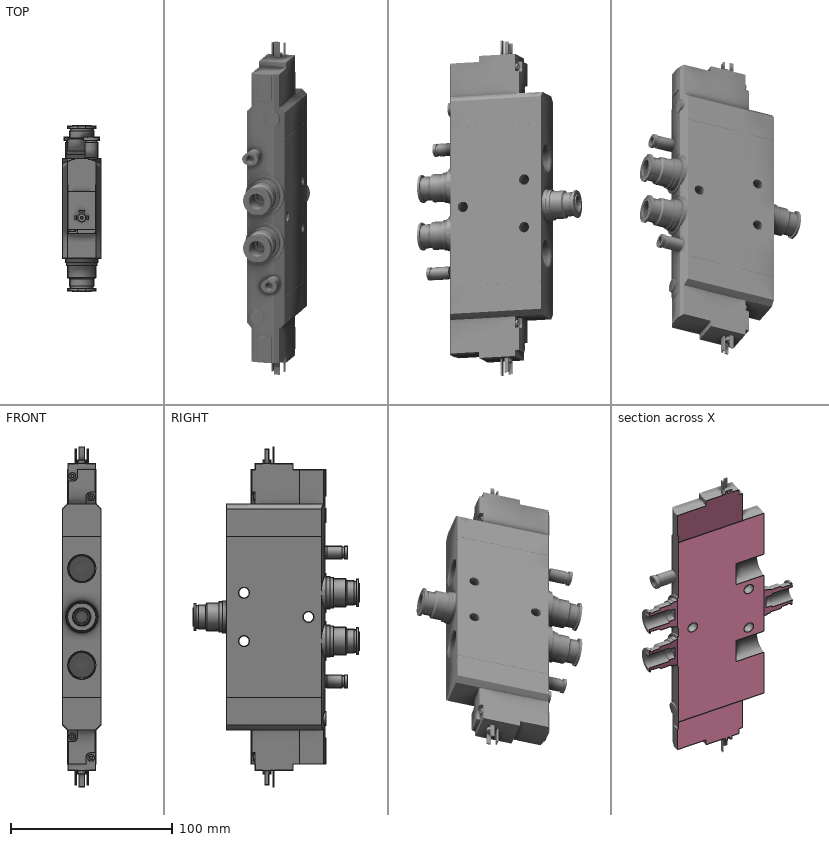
import cadquery as cq
import math


housing_width = 24.0
housing_half_height = 70.25
housing_shoulder_y = 59.0
back_y = 61.3
back_flat_width = 11.6
pilot_width = 17.5
end_chamfer = (housing_width - pilot_width) / 2
cap_joint_z = 50.0
joint_groove = 0.1

mount_hole_diameter = 6.5
mount_hole_places = [(11.0, 15.0), (11.0, -15.0), (51.0, 0.0)]

exhaust_z = 30.0
exhaust_bore_diameter = 16.0
exhaust_mouth_diameter = 17.5
exhaust_chamfer = (exhaust_mouth_diameter - exhaust_bore_diameter) / 2
exhaust_depth = 20.0

boss_diameter = 24.2
boss_y = 62.0
outlet_z = 15.0

override_diameter = 8.6
override_x = -5.0
override_z = 63.0

pilot_top_z = 91.4
pilot_front_y = 45.4
coil_inset = 0.1
coil_width = pilot_width - 2 * coil_inset
pad_width = 9.0
pad_bottom_z = 75.0

coil_top_z = 95.2
coil_step_y = 41.5
coil_head_front_y = 17.9
coil_front_y = 16.1
panel_y = 15.4
panel_width = 16.2

screw_head_diameter = 4.13
screw_head_height = 1.1
screw_socket_diameter = 2.0
screw_socket_depth = 1.5
screw_pocket_diameter = 6.5
screw_x = 5.8
upper_screw_z = 87.5
lower_screw_z = 74.2

collar_diameter = 5.0
collar_bore_diameter = 1.5
collar_y = 25.2
collar_top_z = 97.4
blade_width = 3.6
blade_thickness = 0.8
blade_y = 29.3
blade_top_z = 105.5
side_blade_x = 3.8
side_blade_width = 2.4
side_blade_top_z = 104.2

fitting_steps = [(20.0, 2.4), (19.0, 4.5), (17.5, 12.0)]
fitting_neck_diameter = 14.95
fitting_taper_end = 12.8
fitting_neck_end = 17.2
ring_stem_diameter = 14.3
ring_start = 18.7
ring_diameter = 17.5
ring_flat_width = 16.8
ring_end = 20.1
lip_diameter = 11.4
fitting_length = 20.6
tube_bore_diameter = 10.0
tube_bore_depth = 15.0
inner_bore_diameter = 7.8
inner_bore_depth = 19.0

small_fitting_x = 6.0
small_fitting_z = 40.0
small_body_diameter = 8.0
small_foot_diameter = 7.8
small_foot_length = 1.2
small_neck_diameter = 7.0
small_neck_start = 10.6
small_ring_start = 12.0
small_ring_length = 10.0
small_fitting_length = 14.0
small_bore_diameter = 5.0
small_bore_depth = 10.0


def block(x_range, y_range, z_range):
    """Box between the given limits."""
    (x0, x1), (y0, y1), (z0, z1) = x_range, y_range, z_range
    return cq.Workplane("XY").box(x1 - x0, y1 - y0, z1 - z0, centered=False).translate((x0, y0, z0))


def centred_block(width, y_range, z_range):
    return block((-width / 2, width / 2), y_range, z_range)


def y_cylinder(diameter, y_start, y_end, x=0.0, z=0.0):
    """Cylinder along Y."""
    disc = cq.Workplane("XZ", origin=(x, y_start, z)).circle(diameter / 2)
    return disc.extrude(y_start - y_end)


def half_turn(shape):
    """The same shape at the other end of the valve."""
    return shape.rotate((0, 0, 0), (0, 1, 0), 180)


def back_profile(z_half):
    """Plan outline with the sloped back edges, extruded both ways along Z."""
    half = housing_width / 2
    flat = back_flat_width / 2
    outline = [
        (-half, 0),
        (half, 0),
        (half, housing_shoulder_y),
        (flat, back_y),
        (-flat, back_y),
        (-half, housing_shoulder_y),
    ]
    return cq.Workplane("XY").polyline(outline).close().extrude(z_half, both=True)


def make_housing():
    envelope = centred_block(housing_width, (0, back_y), (-housing_half_height, housing_half_height))
    body = envelope.edges("|Y").chamfer(end_chamfer).intersect(back_profile(housing_half_height))

    side_limits = centred_block(housing_width, (0, boss_y), (-housing_half_height, housing_half_height))
    for z in (outlet_z, -outlet_z):
        pad = y_cylinder(boss_diameter, housing_shoulder_y, boss_y, z=z)
        body = body.union(pad.intersect(side_limits))

    knob = y_cylinder(override_diameter, housing_shoulder_y, boss_y, override_x, override_z)
    body = body.union(knob).union(half_turn(knob))

    for z in (cap_joint_z, -cap_joint_z):
        z_range = (z - joint_groove / 2, z + joint_groove / 2)
        around = centred_block(housing_width, (0, housing_shoulder_y), z_range)
        core = centred_block(housing_width - 2 * joint_groove, (joint_groove, housing_shoulder_y), z_range)
        body = body.cut(around.cut(core))

    holes = cq.Workplane("YZ").pushPoints(mount_hole_places).circle(mount_hole_diameter / 2)
    body = body.cut(holes.extrude(housing_width, both=True))

    for z in (exhaust_z, -exhaust_z):
        body = body.cut(y_cylinder(exhaust_bore_diameter, 0, exhaust_depth, z=z))
        lead_in = cq.Solid.makeCone(
            exhaust_mouth_diameter / 2,
            exhaust_bore_diameter / 2,
            exhaust_chamfer,
            pnt=cq.Vector(0, 0, z),
            dir=cq.Vector(0, 1, 0),
        )
        body = body.cut(cq.Workplane(lead_in))
    return body


def screw_pocket(x, z, x_edge, z_edge):
    """Recess open towards x_edge and z_edge, rounded about the screw at its inner corner."""
    radius = screw_pocket_diameter / 2
    inner_x = x + math.copysign(radius, x - x_edge)
    inner_z = z + math.copysign(radius, z - z_edge)
    y_range = (panel_y, coil_head_front_y)
    corner = y_cylinder(screw_pocket_diameter, *y_range, x, z)
    along_x = block(sorted((x, x_edge)), y_range, sorted((inner_z, z_edge)))
    along_z = block(sorted((inner_x, x_edge)), y_range, sorted((z, z_edge)))
    return corner.union(along_x).union(along_z)


def make_solenoid():
    half = coil_width / 2
    full_height = (housing_half_height, pilot_top_z)
    tall = (housing_half_height, coil_top_z)

    solenoid = centred_block(pilot_width, (pilot_front_y, back_y), full_height)
    solenoid = solenoid.intersect(back_profile(pilot_top_z))
    solenoid = solenoid.union(centred_block(pad_width, (back_y, boss_y), (pad_bottom_z, pilot_top_z)))

    solenoid = solenoid.union(centred_block(coil_width, (coil_front_y, pilot_front_y), full_height))
    solenoid = solenoid.union(centred_block(coil_width, (coil_head_front_y, coil_step_y), tall))
    solenoid = solenoid.union(centred_block(panel_width, (panel_y, coil_front_y), full_height))

    solenoid = solenoid.cut(screw_pocket(-screw_x, upper_screw_z, -half, pilot_top_z))
    solenoid = solenoid.cut(screw_pocket(screw_x, lower_screw_z, half, housing_half_height))
    head_y = coil_head_front_y - screw_head_height
    socket_y = head_y + screw_socket_depth
    for x, z in ((-screw_x, upper_screw_z), (screw_x, lower_screw_z)):
        solenoid = solenoid.union(y_cylinder(screw_head_diameter, head_y, coil_head_front_y, x, z))
        solenoid = solenoid.cut(y_cylinder(screw_socket_diameter, head_y, socket_y, x, z))

    collar = cq.Workplane("XY", origin=(0, collar_y, coil_top_z))
    collar = collar.circle(collar_diameter / 2).circle(collar_bore_diameter / 2)
    solenoid = solenoid.union(collar.extrude(collar_top_z - coil_top_z))
    blade_y_range = (blade_y - blade_thickness / 2, blade_y + blade_thickness / 2)
    solenoid = solenoid.union(centred_block(blade_width, blade_y_range, (coil_top_z, blade_top_z)))
    side_y_range = (collar_y - side_blade_width / 2, collar_y + side_blade_width / 2)
    for x in (-side_blade_x, side_blade_x):
        x_range = (x - blade_thickness / 2, x + blade_thickness / 2)
        solenoid = solenoid.union(block(x_range, side_y_range, (coil_top_z, side_blade_top_z)))
    return solenoid


def make_fitting():
    """Push-in fitting seated at y = 0 and pointing along +Y."""
    outline = [(0, 0)]
    start = 0
    for diameter, end in fitting_steps:
        outline += [(diameter / 2, start), (diameter / 2, end)]
        start = end
    outline += [
        (fitting_neck_diameter / 2, fitting_taper_end),
        (fitting_neck_diameter / 2, fitting_neck_end),
        (ring_stem_diameter / 2, fitting_neck_end),
        (ring_stem_diameter / 2, ring_start),
        (0, ring_start),
    ]
    fitting = cq.Workplane("XY").polyline(outline).close().revolve(360, (0, 0), (0, 1))
    ring = y_cylinder(ring_diameter, ring_start, ring_end)
    flats = (-ring_flat_width / 2, ring_flat_width / 2)
    ring = ring.intersect(centred_block(ring_diameter, (ring_start, ring_end), flats))
    lip = y_cylinder(lip_diameter, ring_end, fitting_length)
    fitting = fitting.union(ring).union(lip)

    for diameter, depth in (
        (tube_bore_diameter, tube_bore_depth),
        (inner_bore_diameter, inner_bore_depth),
    ):
        fitting = fitting.cut(y_cylinder(diameter, fitting_length - depth, fitting_length))
    return fitting


def make_small_fitting():
    """Small push-in fitting seated at y = 0 and pointing along +Y."""
    fitting = y_cylinder(small_foot_diameter, 0, small_foot_length)
    fitting = fitting.union(y_cylinder(small_body_diameter, small_foot_length, small_neck_start))
    fitting = fitting.union(y_cylinder(small_neck_diameter, small_neck_start, small_ring_start))
    ring = cq.Workplane("XZ", origin=(0, small_ring_start, 0))
    ring = ring.ellipse(small_ring_length / 2, small_body_diameter / 2)
    fitting = fitting.union(ring.extrude(small_ring_start - small_fitting_length))
    bore_start = small_fitting_length - small_bore_depth
    return fitting.cut(y_cylinder(small_bore_diameter, bore_start, small_fitting_length))


housing = make_housing()

solenoid = make_solenoid()
solenoids = [solenoid, half_turn(solenoid)]

fitting = make_fitting()
supply_fitting = fitting.rotate((0, 0, 0), (0, 0, 1), 180)
outlet_fittings = [fitting.translate((0, boss_y, z)) for z in (outlet_z, -outlet_z)]

small_fitting = make_small_fitting().translate((small_fitting_x, back_y, small_fitting_z))
small_fittings = [small_fitting, half_turn(small_fitting)]

bodies = [housing, supply_fitting, *solenoids, *outlet_fittings, *small_fittings]
result = cq.Compound.makeCompound([body.val() for body in bodies])